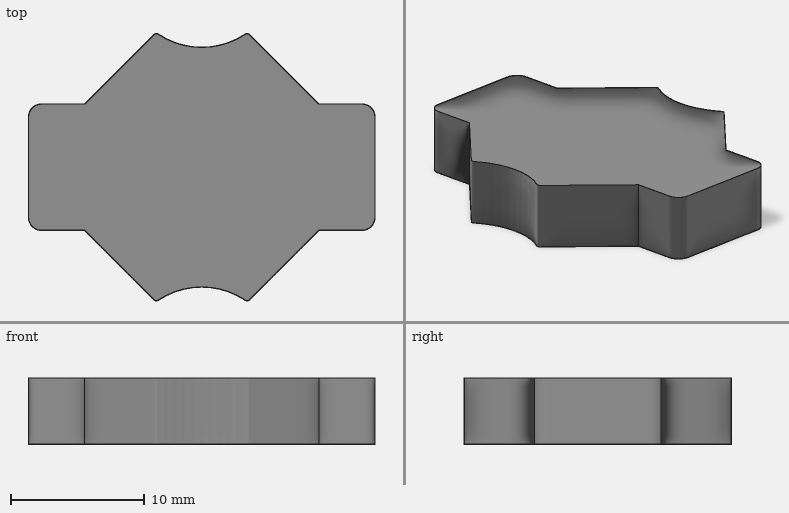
import cadquery as cq

length = 26.0
thickness = 5.0
end_width = 9.5
end_corner_radius = 1.0

shoulder_x = 8.8
tip_x = 3.43
tip_radius = 0.25

scallop_floor_y = 9.0

half_length = length / 2
half_end_width = end_width / 2
tip_y = half_end_width + shoulder_x - tip_x

outline = (
    cq.Workplane("XY")
    .moveTo(-half_length, -half_end_width)
    .lineTo(-shoulder_x, -half_end_width)
    .lineTo(-tip_x, -tip_y)
    .threePointArc((0, -scallop_floor_y), (tip_x, -tip_y))
    .lineTo(shoulder_x, -half_end_width)
    .lineTo(half_length, -half_end_width)
    .lineTo(half_length, half_end_width)
    .lineTo(shoulder_x, half_end_width)
    .lineTo(tip_x, tip_y)
    .threePointArc((0, scallop_floor_y), (-tip_x, tip_y))
    .lineTo(-shoulder_x, half_end_width)
    .lineTo(-half_length, half_end_width)
    .close()
)
plate = outline.extrude(thickness)


def upright_edges_at(x, y):
    """Box selector catching the four mirrored upright edges at (+-x, +-y)."""
    reach = 0.03
    selector = None
    for sx in (-1, 1):
        for sy in (-1, 1):
            box = cq.selectors.BoxSelector(
                (sx * x - reach, sy * y - reach, 0),
                (sx * x + reach, sy * y + reach, thickness),
            )
            selector = box if selector is None else selector + box
    return selector


plate = plate.edges(upright_edges_at(half_length, half_end_width)).fillet(end_corner_radius)
result = plate.edges(upright_edges_at(tip_x, tip_y)).fillet(tip_radius)